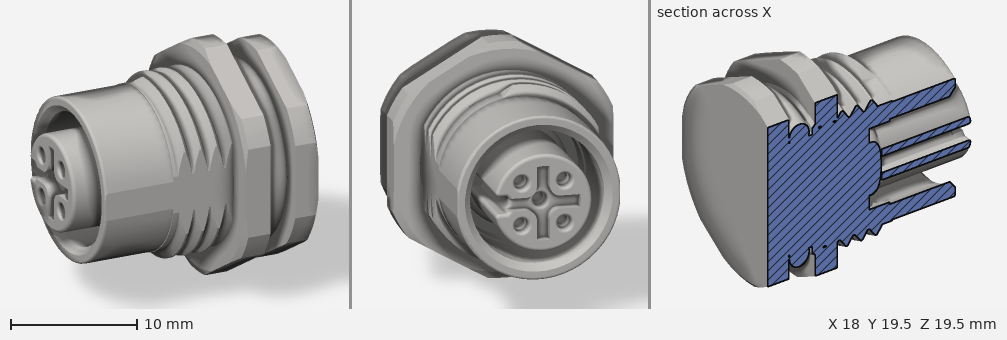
import cadquery as cq
import math

length = 19.5

flange_apothem = 8.42
flange_corner_radius = 8.97
flange_face_radius = 8.62
flange_thickness = 2.05

ring_radius = 0.98
ring_outer_radius = 7.75

nut_across_flats = 18.0
nut_corner_radius = 9.75
nut_face_radius = 9.18
nut_bore_radius = 6.88
nut_front_y = 12.8
nut_thickness = 2.18
hex_chamfer_depth = 0.21

barrel_radius = 6.75
barrel_front_y = 1.48
barrel_edge_fillet = 0.21
flat_distance = 6.65
neck_radius = 6.51

thread_root_radius = 6.82
thread_crest_radius = 7.5
thread_pitch = 1.4
thread_root_width = 1.25
thread_crest_width = 0.18
thread_embed_depth = 0.05
thread_relief_y = 7.55
thread_end_y = 15.25
thread_end_radius = 6.98
thread_start_y = 8.29
thread_run_in_angle = 15.0
thread_ramp_base_x = -1.23
thread_ramp_angle = 38.0

socket_mouth_radius = 6.05
socket_bore_radius = 5.48
socket_inner_radius = 5.32
socket_taper_depth = 0.58
socket_step_y = 7.8
socket_floor_y = 9.75

insert_radius = 4.0
insert_edge_fillet = 0.3
boss_radius = 4.48
boss_edge_fillet = 0.98
boss_front_y = 8.58

slot_half_width = 0.72
slot_wall_end_x = -2.96
slot_bottom_x = -2.6

cross_width = 1.07
cross_radius = 3.06
cross_depth = 0.98
cross_corner_radius = 0.88

contact_offset = 1.75
contact_hole_radius = 0.6
contact_edge_fillet = 0.23
contact_seat_depth = 0.88
contact_bore_radius = 0.45
contact_bore_depth = 1.95
contact_tip_depth = 0.27

clearance = 0.1

flange_front_y = length - flange_thickness


def cross_section(y):
    """Workplane across the axis at y: local x is X, local y is Z, and it extrudes toward -Y."""
    return cq.Workplane("XZ", origin=(0, y, 0))


def disc(radius, start_y, end_y):
    """Solid cylinder about the Y axis between two positions."""
    return cross_section(end_y).circle(radius).extrude(end_y - start_y)


def turned(profile):
    """Revolve a list of (radius, y) points about the Y axis."""
    return cq.Workplane("XY").polyline(profile).close().revolve(360, (0, 0, 0), (0, 1, 0))


def hexagon(apothem, start_y, end_y):
    """Hexagonal prism with a corner on +Z and flats facing -X and +X."""
    across_corners = 2 * apothem / math.cos(math.pi / 6)
    prism = cross_section(end_y).polygon(6, across_corners).extrude(end_y - start_y)
    return prism.rotate((0, 0, 0), (0, 1, 0), 30)


def make_flange():
    chamfer_y = length - hex_chamfer_depth
    envelope = turned([
        (0, flange_front_y),
        (flange_corner_radius, flange_front_y),
        (flange_corner_radius, chamfer_y),
        (flange_face_radius, length),
        (0, length),
    ])
    return hexagon(flange_apothem, flange_front_y, length).intersect(envelope)


def make_nut():
    back_y = nut_front_y + nut_thickness
    envelope = turned([
        (nut_bore_radius, nut_front_y),
        (nut_face_radius, nut_front_y),
        (nut_corner_radius, nut_front_y + hex_chamfer_depth),
        (nut_corner_radius, back_y),
        (nut_bore_radius, back_y),
    ])
    return hexagon(nut_across_flats / 2, nut_front_y, back_y).intersect(envelope)


def make_sealing_ring():
    center_radius = ring_outer_radius - ring_radius
    section = cq.Workplane("XY").center(-center_radius, flange_front_y - ring_radius).circle(ring_radius)
    return section.revolve(360, (center_radius, 0, 0), (center_radius, 1, 0))


def make_thread_ridge():
    """Right-hand ridge sunk into the core, with a ramped start at +Z, running past the thread end."""
    embed_radius = thread_root_radius - thread_embed_depth
    half_root = thread_root_width / 2
    half_crest = thread_crest_width / 2
    flank_slope = (half_root - half_crest) / (thread_crest_radius - thread_root_radius)
    half_base = half_root + flank_slope * thread_embed_depth
    first_y = thread_start_y - thread_pitch * thread_run_in_angle / 360
    ridge_height = thread_end_y + thread_pitch - first_y
    helix = cq.Wire.makeHelix(thread_pitch, ridge_height, thread_root_radius)
    ridge = (
        cq.Workplane("XZ")
        .polyline([
            (embed_radius, -half_base),
            (thread_crest_radius, -half_crest),
            (thread_crest_radius, half_crest),
            (embed_radius, half_base),
        ])
        .close()
        .sweep(cq.Workplane(helix), isFrenet=True)
        .rotate((0, 0, 0), (1, 0, 0), -90)
        .rotate((0, 0, 0), (0, 1, 0), -90 - thread_run_in_angle)
        .translate((0, first_y, 0))
    )
    ramp_angle = math.radians(thread_ramp_angle)
    ramp_size = 4 * (thread_crest_radius - thread_root_radius)
    ramp_end_y = thread_start_y + thread_root_width / 2 + clearance
    ramp_cut = (
        cross_section(ramp_end_y)
        .center(thread_ramp_base_x, thread_root_radius)
        .transformed(rotate=(0, 0, thread_ramp_angle))
        .rect(2 * ramp_size, ramp_size)
        .extrude(ramp_end_y - thread_relief_y)
        .translate((-ramp_size / 2 * math.sin(ramp_angle), 0, ramp_size / 2 * math.cos(ramp_angle)))
    )
    return ridge.cut(ramp_cut)


def make_thread():
    """Thread core and ridge, made overlong and then trimmed to a 45 degree cone at the back end."""
    core = disc(thread_root_radius, thread_relief_y, thread_end_y + 3 * thread_pitch)
    trim_radius = thread_crest_radius + clearance
    trim = turned([
        (0, thread_relief_y),
        (trim_radius, thread_relief_y),
        (trim_radius, thread_end_y + thread_end_radius - trim_radius),
        (thread_end_radius, thread_end_y),
        (0, thread_end_y),
    ])
    return core.union(make_thread_ridge()).intersect(trim)


def make_barrel():
    """Threaded barrel with two flats, and the plain neck behind it."""
    front = disc(barrel_radius, barrel_front_y, thread_relief_y)
    front = front.faces("<Y").edges().fillet(barrel_edge_fillet)
    barrel = front.union(make_thread())
    flats = cross_section(length).rect(2 * flat_distance, 4 * barrel_radius).extrude(length)
    return barrel.intersect(flats).union(disc(neck_radius, thread_end_y, flange_front_y))


def make_socket():
    taper_end_y = barrel_front_y + socket_taper_depth
    return turned([
        (0, barrel_front_y),
        (socket_mouth_radius, barrel_front_y),
        (socket_bore_radius, taper_end_y),
        (socket_bore_radius, socket_step_y),
        (socket_inner_radius, socket_step_y),
        (socket_inner_radius, socket_floor_y),
        (0, socket_floor_y),
    ])


def make_slot():
    outside_x = -2 * insert_radius
    return (
        cross_section(boss_front_y)
        .moveTo(outside_x, -slot_half_width)
        .lineTo(slot_wall_end_x, -slot_half_width)
        .threePointArc((slot_bottom_x, 0), (slot_wall_end_x, slot_half_width))
        .lineTo(outside_x, slot_half_width)
        .close()
        .extrude(boss_front_y)
    )


def make_cross():
    arm = 2 * cross_radius
    cross = cross_section(cross_depth).rect(arm, cross_width).extrude(cross_depth)
    cross = cross.union(cross_section(cross_depth).rect(cross_width, arm).extrude(cross_depth))
    inner_corners = cq.selectors.BoxSelector(
        (-cross_width, -length, -cross_width), (cross_width, length, cross_width)
    )
    cross = cross.edges("|Y").edges(inner_corners).fillet(cross_corner_radius)
    return cross.intersect(disc(cross_radius, 0, cross_depth))


def make_contact_hole(x, z, face_y):
    """Contact hole with a rounded mouth in the face at face_y and a narrower drilled bore behind."""
    mouth_radius = contact_hole_radius + contact_edge_fillet
    arc_mid = contact_edge_fillet * (1 - math.sqrt(0.5))
    seat_y = contact_seat_depth
    return (
        cq.Workplane("XY")
        .moveTo(0, 0)
        .lineTo(mouth_radius, 0)
        .threePointArc((contact_hole_radius + arc_mid, arc_mid), (contact_hole_radius, contact_edge_fillet))
        .lineTo(contact_hole_radius, seat_y)
        .lineTo(contact_bore_radius, seat_y)
        .lineTo(contact_bore_radius, contact_bore_depth)
        .lineTo(0, contact_bore_depth + contact_tip_depth)
        .close()
        .revolve(360, (0, 0, 0), (0, 1, 0))
        .translate((x, face_y, z))
    )


def make_insert():
    body = disc(insert_radius, 0, boss_front_y).cut(make_slot())
    slot_mouth = cq.selectors.BoxSelector(
        (-insert_radius - clearance, -clearance, -slot_half_width - clearance),
        (slot_wall_end_x - clearance, length, slot_half_width + clearance),
    )
    body = body.edges("|Y").edges(slot_mouth).fillet(insert_edge_fillet)
    body = body.faces("<Y").edges().fillet(insert_edge_fillet)
    body = body.cut(make_cross())
    cross_floor_lip = cq.selectors.NearestToPointSelector((slot_bottom_x, cross_depth, 0))
    body = body.edges(cross_floor_lip).fillet(insert_edge_fillet)
    boss = disc(boss_radius, boss_front_y, socket_floor_y)
    body = body.union(boss.faces("<Y").edges().fillet(boss_edge_fillet))
    body = body.cut(make_contact_hole(0, 0, cross_depth))
    for x in (-contact_offset, contact_offset):
        for z in (-contact_offset, contact_offset):
            body = body.cut(make_contact_hole(x, z, 0))
    return body


housing = make_barrel().cut(make_socket())
result = housing.union(make_flange()).union(make_sealing_ring()).union(make_nut()).union(make_insert())